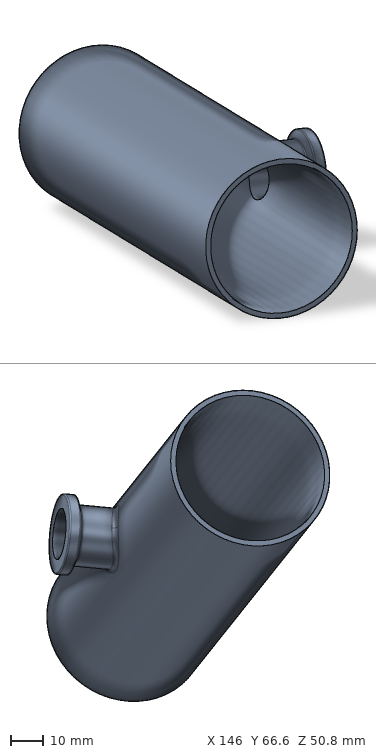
import cadquery as cq

tube_length = 146.0
tube_outer_diameter = 50.8
tube_inner_diameter = 47.5

branch_face_y = 41.2
branch_neck_diameter = 19.0
branch_bore_diameter = 15.8
saddle_fillet_radius = 1.6

flange_diameter = 25.0
flange_rim_thickness = 3.5
flange_taper_length = 1.2
flange_edge_radius = 0.5

rim_back_y = branch_face_y - flange_rim_thickness
taper_end_y = rim_back_y - flange_taper_length


def tube_cylinder(diameter):
    """Cylinder along X, as long as the run tube."""
    return cq.Workplane("YZ").circle(diameter / 2).extrude(tube_length / 2, both=True)


def branch_cylinder(diameter):
    """Cylinder along Y, from the tube axis to the branch face."""
    return cq.Workplane("XZ").circle(diameter / 2).extrude(-branch_face_y)


def clamp_branch():
    """Solid branch: a neck, a taper and a straight rim, with softened flange edges."""
    neck_radius = branch_neck_diameter / 2
    flange_radius = flange_diameter / 2
    blank = (
        cq.Workplane("XY")
        .lineTo(neck_radius, 0)
        .lineTo(neck_radius, taper_end_y)
        .lineTo(flange_radius, rim_back_y)
        .lineTo(flange_radius, branch_face_y)
        .lineTo(0, branch_face_y)
        .close()
        .revolve(360, (0, 0, 0), (0, 1, 0))
    )
    return blank.edges("%CIRCLE").edges("not <Y").fillet(flange_edge_radius)


def add_saddle_fillet(body):
    """Round the saddle-shaped joint between the branch and the tube."""
    reach = branch_neck_diameter
    joint_region = cq.selectors.BoxSelector(
        (-reach, 0, -reach),
        (reach, tube_outer_diameter / 2, reach),
    )
    return body.edges(joint_region).edges("not %LINE").fillet(saddle_fillet_radius)


tee = add_saddle_fillet(tube_cylinder(tube_outer_diameter).union(clamp_branch()))

result = tee.cut(tube_cylinder(tube_inner_diameter)).cut(branch_cylinder(branch_bore_diameter))